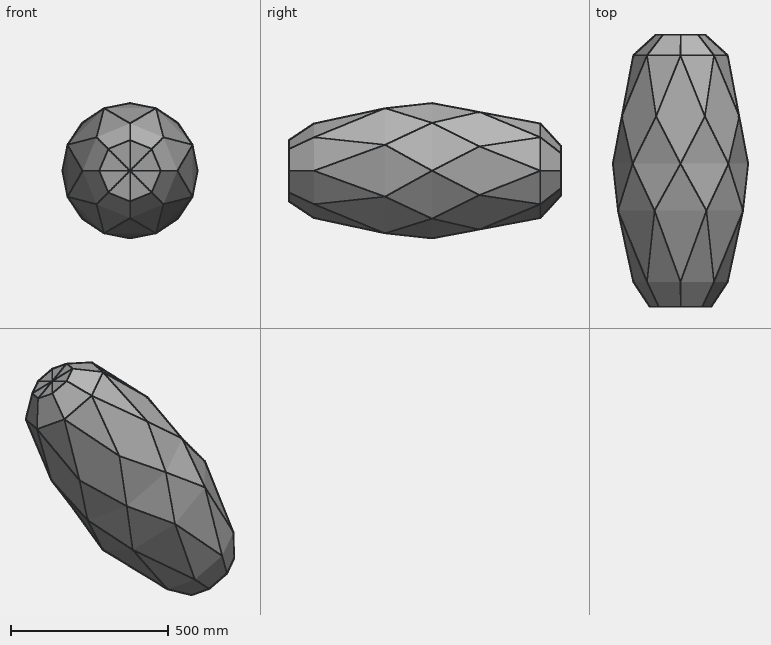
import cadquery as cq
import math


SEGMENTS = 8
STEP = 360 / SEGMENTS

LENGTH = 865.0
BELLY_RADIUS = 215.0

FRONT_CAP_RADIUS = 98.0
RIM_RADIUS = 150.5
FRONT_SHOULDER_RADIUS = BELLY_RADIUS
BACK_SHOULDER_RADIUS = 202.0
BACK_CAP_RADIUS = 79.0

FRONT_CAP_Y = -455.0
FRONT_RIM_Y = -375.0
FRONT_SHOULDER_Y = -150.0
BELLY_Y = 0.0
BACK_SHOULDER_Y = 150.5
BACK_RIM_Y = 344.0
BACK_CAP_Y = FRONT_CAP_Y + LENGTH

HALF_TURN = 0.5

CENTRE = cq.Vector(0, BELLY_Y, 0)
BACK_POLE = cq.Vector(0, BACK_CAP_Y, 0)


def ring_corners(y, radius, turn=0.0):
    """Two neighbouring corners of an octagonal ring: those on the two sides of a segment."""
    corners = []
    for side in range(2):
        angle = math.radians((side + turn) * STEP)
        corners.append(cq.Vector(radius * math.cos(angle), y, radius * math.sin(angle)))
    return corners


def flat_face(*points):
    return cq.Face.makeFromWires(cq.Wire.makePolygon(list(points), close=True))


def end_faces(cap_y, cap, rim):
    """Closed end of a segment: its cap triangle, its sloping panel and its two flat sides."""
    cap_centre = cq.Vector(0, cap_y, 0)
    faces = [
        flat_face(cap_centre, cap[0], cap[1]),
        flat_face(cap[0], cap[1], rim[1], rim[0]),
    ]
    for side in range(2):
        faces.append(flat_face(CENTRE, cap_centre, cap[side], rim[side]))
    return faces


def band_faces(straight, turned):
    """Stretch between a straight ring and a turned one: two outer triangles and two sides."""
    faces = [
        flat_face(straight[0], straight[1], turned[0]),
        flat_face(turned[0], turned[1], straight[1]),
    ]
    for side in range(2):
        faces.append(flat_face(CENTRE, straight[side], turned[side]))
    return faces


def make_segment():
    front_cap = ring_corners(FRONT_CAP_Y, FRONT_CAP_RADIUS)
    front_rim = ring_corners(FRONT_RIM_Y, RIM_RADIUS)
    front_shoulder = ring_corners(FRONT_SHOULDER_Y, FRONT_SHOULDER_RADIUS, HALF_TURN)
    belly = ring_corners(BELLY_Y, BELLY_RADIUS)
    back_shoulder = ring_corners(BACK_SHOULDER_Y, BACK_SHOULDER_RADIUS, HALF_TURN)
    back_rim = ring_corners(BACK_RIM_Y, RIM_RADIUS)
    back_cap = ring_corners(BACK_CAP_Y, BACK_CAP_RADIUS)

    faces = [
        *end_faces(FRONT_CAP_Y, front_cap, front_rim),
        *band_faces(front_rim, front_shoulder),
        *band_faces(belly, front_shoulder),
        *band_faces(belly, back_shoulder),
        *band_faces(back_rim, back_shoulder),
        *end_faces(BACK_CAP_Y, back_cap, back_rim),
    ]
    return cq.Solid.makeSolid(cq.Shell.makeShell(faces))


segment = make_segment()
segments = []
for index in range(SEGMENTS):
    segments.append(segment.rotate(CENTRE, BACK_POLE, index * STEP))

result = cq.Compound.makeCompound(segments)